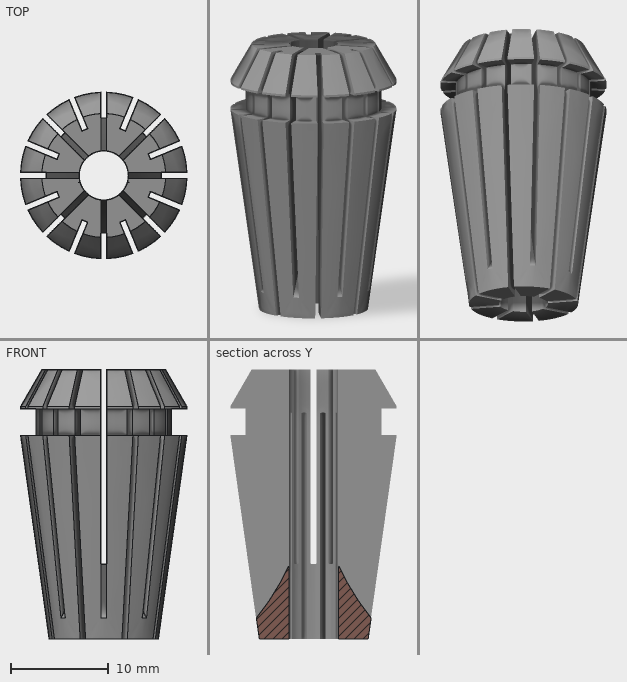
import cadquery as cq
import math


LENGTH = 27.5
RIM_RADIUS = 8.5
TOP_CONE_ANGLE = 30.0
TOP_CONE_HEIGHT = 3.77
RIM_HEIGHT = 0.22
GROOVE_RADIUS = 6.93
GROOVE_HEIGHT = 2.72
BODY_TAPER_ANGLE = 8.0
BORE_RADIUS = 2.5

SLOTS_PER_END = 8
SLOT_PITCH = 360 / SLOTS_PER_END
SLOT_WIDTH = 0.6
SAW_RADIUS = 25.0
SAW_OFFSET = 25.3
TOP_SAW_HEIGHT = 17.9
BOTTOM_SAW_DEPTH = 14.65


def turned_blank():
    """Revolve the collet outline: tapered body, wrench groove, rim and top cone, bored through."""
    rim_top = LENGTH - TOP_CONE_HEIGHT
    groove_top = rim_top - RIM_HEIGHT
    body_top = groove_top - GROOVE_HEIGHT
    top_radius = RIM_RADIUS - TOP_CONE_HEIGHT * math.tan(math.radians(TOP_CONE_ANGLE))
    bottom_radius = RIM_RADIUS - body_top * math.tan(math.radians(BODY_TAPER_ANGLE))
    outline = [
        (BORE_RADIUS, 0),
        (bottom_radius, 0),
        (RIM_RADIUS, body_top),
        (GROOVE_RADIUS, body_top),
        (GROOVE_RADIUS, groove_top),
        (RIM_RADIUS, groove_top),
        (RIM_RADIUS, rim_top),
        (top_radius, LENGTH),
        (BORE_RADIUS, LENGTH),
    ]
    return cq.Workplane("XZ").polyline(outline).close().revolve(360, (0, 0), (0, 1))


def saw_sweep(saw_height, feed):
    """Space swept by the saw in the XZ plane; feed is +1 to leave at the top, -1 at the bottom."""
    inner_edge = SAW_OFFSET - SAW_RADIUS
    exit_height = saw_height + feed * LENGTH
    arc_reach = SAW_RADIUS * math.sqrt(0.5)
    sweep = (
        cq.Workplane("XZ", origin=(0, SLOT_WIDTH / 2, 0))
        .moveTo(inner_edge, exit_height)
        .lineTo(inner_edge, saw_height)
        .threePointArc(
            (SAW_OFFSET - arc_reach, saw_height - feed * arc_reach),
            (SAW_OFFSET, saw_height - feed * SAW_RADIUS),
        )
        .lineTo(SAW_OFFSET, exit_height)
        .close()
    )
    return sweep.extrude(SLOT_WIDTH)


def cut_slots(body, cutter, first_angle):
    """Cut a ring of equally spaced radial slots, the first one at the given angle from +X."""
    for i in range(SLOTS_PER_END):
        angle = first_angle + i * SLOT_PITCH
        body = body.cut(cutter.rotate((0, 0, 0), (0, 0, 1), angle))
    return body


result = turned_blank()
result = cut_slots(result, saw_sweep(TOP_SAW_HEIGHT, 1), 0)
result = cut_slots(result, saw_sweep(LENGTH - BOTTOM_SAW_DEPTH, -1), SLOT_PITCH / 2)